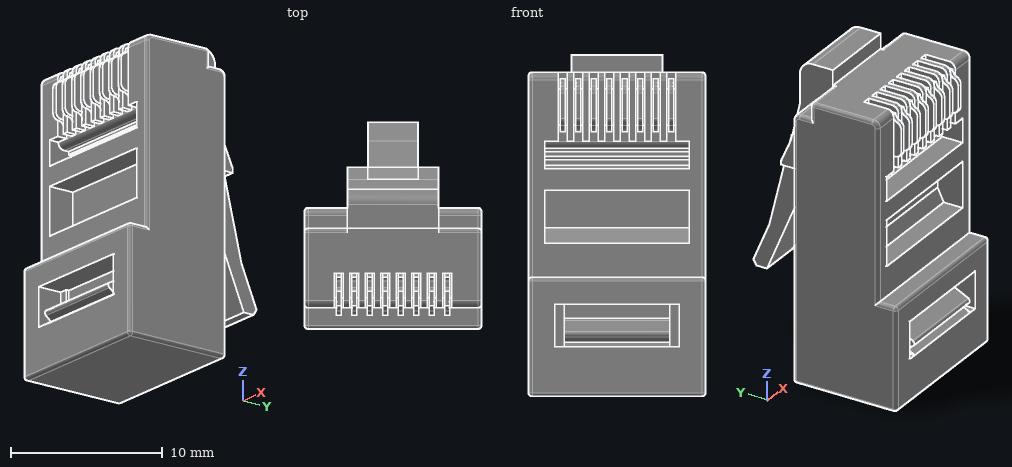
import cadquery as cq
import math


WIDTH = 11.68
BACK_Y = 7.99
NOSE_FRONT_Y = 1.4
BASE_TOP_Z = 7.85
NOSE_TOP_Z = 21.35
SHOULDER_Y = 6.64
SHOULDER_Z = 20.14
NOSE_RADIUS = 0.5
EDGE_RADIUS = 0.25

LATCH_TOP_Z = 22.5
LATCH_BACK_Y = 9.2
LATCH_WIDTH = 6.0
ARM_WIDTH = 3.3
LATCH_ROOT_Z = 18.88
LATCH_ROOT_Y = 8.28
LATCH_BEND_Z = 19.25
LATCH_TOP_RADIUS = 1.0
LATCH_EMBED_Y = 6.08
CATCH_START_Y = 9.88
CATCH_START_Z = 16.35
HEAD_END_Y = 10.66
HEAD_TAPER_Z = 14.58
HEAD_END_Z = 14.29
CATCH_Z = 15.9
ARM_BACK_BEND = (12.4, 8.7)
ARM_FRONT_BEND = (10.12, 11.25)
ARM_TIP_Y = 13.64
ARM_TIP_Z = 5.33
ARM_TIP_CORNER_Z = 5.74
ARM_TIP_FRONT_Y = 12.58
ARM_TIP_RADIUS = 0.25

CONTACT_COUNT = 8
CONTACT_ROW = 7.13
CONTACT_PITCH = CONTACT_ROW / (CONTACT_COUNT - 1)
CONTACT_THICKNESS = 0.34
CONTACT_FRONT_Y = 0.9
CONTACT_TOP_FRONT_Y = 1.53
CONTACT_BACK_Y = 3.7
CONTACT_TOP_Z = 20.92
CONTACT_BOTTOM_Z = 17.42
BULGE_TOP_RADIUS = 0.5
BULGE_BOTTOM_RADIUS = 0.45
CONTACT_NOTCH_FRONT_Y = 2.5
CONTACT_NOTCH_BACK_Y = 3.42
CONTACT_NOTCH_DEPTH = 0.5
CONTACT_NOTCH_RADIUS = 0.25
CONTACT_CHAMFER = CONTACT_BACK_Y - CONTACT_NOTCH_BACK_Y
SLOT_WIDTH = 0.58
SLOT_LEDGE_Y = 2.05
SLOT_UPPER_Z = 20.27
SLOT_LOWER_Z = 17.86
SLOT_BACK_Y = 2.12
SLOT_LIP_RADIUS = 0.47

WINDOW_WIDTH = 9.55
UPPER_WINDOW_TOP_Z = 16.8
UPPER_WINDOW_BOTTOM_Z = 14.98
UPPER_WINDOW_FLOOR_Y = 2.97
UPPER_WINDOW_RAMP = 0.22
UPPER_WINDOW_STEP_Z = 16.1
UPPER_WINDOW_STEP = 0.22
RIB_RADIUS = 0.11
RIB_Z = 15.7
LOWER_WINDOW_TOP_Z = 13.57
LOWER_WINDOW_BOTTOM_Z = 10.1
LOWER_WINDOW_FLOOR_Y = 2.85
LOWER_WINDOW_RAMP_TOP_Z = 11.1
LOWER_WINDOW_BACK_Y = 3.33

RELIEF_WIDTH = 8.2
RELIEF_TOP_Z = 6.08
RELIEF_BOTTOM_Z = 3.26
RELIEF_BACK_Y = 1.8
RELIEF_CENTRE_BACK_Y = 2.02
BAR_WIDTH = 6.95
BAR_TOP_Z = 5.15
BAR_BEVEL = 0.14
BAR_BEVEL_Y = 1.65
BAR_NOSE_Y = 0.05
BAR_NOSE_RADIUS = 0.22
BAR_NOSE_Z = 4.1
BAR_TILT = math.radians(24.5)
BAR_UNDERCUT = math.radians(45)
BAR_GROOVE_Y = 0.58
BAR_GROOVE_Z = 3.55


def side_sketch(y, z):
    """Start a profile in the YZ plane at (y, z)."""
    return cq.Workplane("YZ").moveTo(y, z)


def extrude_across(profile, width):
    """Extrude a closed YZ profile symmetrically about the plug's middle."""
    return profile.close().extrude(width / 2, both=True)


def block(width, y_range, z_range):
    """A box centred across the plug."""
    (y0, y1), (z0, z1) = y_range, z_range
    return extrude_across(side_sketch(y0, z0).lineTo(y1, z0).lineTo(y1, z1).lineTo(y0, z1), width)


def make_block():
    """Stepped housing block with all its outer edges rounded."""
    body = extrude_across(
        side_sketch(0, 0)
        .lineTo(BACK_Y, 0)
        .lineTo(BACK_Y, SHOULDER_Z - NOSE_RADIUS)
        .radiusArc((BACK_Y - NOSE_RADIUS, SHOULDER_Z), -NOSE_RADIUS)
        .lineTo(SHOULDER_Y, SHOULDER_Z)
        .lineTo(SHOULDER_Y, NOSE_TOP_Z)
        .lineTo(NOSE_FRONT_Y + NOSE_RADIUS, NOSE_TOP_Z)
        .radiusArc((NOSE_FRONT_Y, NOSE_TOP_Z - NOSE_RADIUS), -NOSE_RADIUS)
        .lineTo(NOSE_FRONT_Y, BASE_TOP_Z)
        .lineTo(0, BASE_TOP_Z),
        WIDTH,
    )
    side_edges = body.faces("<X or >X").edges()
    base_edges = body.edges("|X and (<Y or <Z)")
    shoulder_edge = body.faces(">Z").edges("|X and >Y")
    return side_edges.add(base_edges).add(shoulder_edge).fillet(EDGE_RADIUS)


def make_latch():
    """Spring latch: a wide head merged into the shoulder and a narrower arm below it."""
    lean = (ARM_FRONT_BEND[0] - LATCH_ROOT_Y) / (LATCH_ROOT_Z - ARM_FRONT_BEND[1])
    head_front_y = LATCH_ROOT_Y + lean * (LATCH_ROOT_Z - HEAD_END_Z)
    arm_front_y = LATCH_ROOT_Y + lean * (LATCH_ROOT_Z - CATCH_START_Z)

    head = extrude_across(
        side_sketch(LATCH_EMBED_Y, LATCH_ROOT_Z)
        .lineTo(LATCH_EMBED_Y, NOSE_TOP_Z)
        .lineTo(SHOULDER_Y, NOSE_TOP_Z)
        .lineTo(SHOULDER_Y, LATCH_TOP_Z)
        .lineTo(LATCH_BACK_Y - LATCH_TOP_RADIUS, LATCH_TOP_Z)
        .radiusArc((LATCH_BACK_Y, LATCH_TOP_Z - LATCH_TOP_RADIUS), LATCH_TOP_RADIUS)
        .lineTo(LATCH_BACK_Y, LATCH_BEND_Z)
        .lineTo(CATCH_START_Y, CATCH_START_Z)
        .lineTo(HEAD_END_Y, HEAD_TAPER_Z)
        .lineTo(HEAD_END_Y, HEAD_END_Z)
        .lineTo(head_front_y, HEAD_END_Z)
        .lineTo(LATCH_ROOT_Y, LATCH_ROOT_Z),
        LATCH_WIDTH,
    )
    root_point = cq.NearestToPointSelector((0, LATCH_ROOT_Y, LATCH_ROOT_Z))
    head = head.edges("|X").edges(root_point).fillet(EDGE_RADIUS)

    arm = extrude_across(
        side_sketch(arm_front_y, CATCH_START_Z)
        .lineTo(CATCH_START_Y, CATCH_START_Z)
        .lineTo(HEAD_END_Y, CATCH_Z)
        .lineTo(*ARM_BACK_BEND)
        .lineTo(ARM_TIP_Y, ARM_TIP_CORNER_Z)
        .lineTo(ARM_TIP_Y - ARM_TIP_RADIUS, ARM_TIP_Z)
        .lineTo(ARM_TIP_FRONT_Y, ARM_TIP_Z)
        .lineTo(*ARM_FRONT_BEND),
        ARM_WIDTH,
    )
    return head.union(arm)


def upper_window():
    """Pocket below the contacts: rounded lip inside its roof, stepped back wall and a small rib."""
    inner_roof_z = UPPER_WINDOW_TOP_Z - SLOT_LIP_RADIUS
    wall_y = UPPER_WINDOW_FLOOR_Y + UPPER_WINDOW_RAMP
    return extrude_across(
        side_sketch(NOSE_FRONT_Y, UPPER_WINDOW_BOTTOM_Z)
        .lineTo(UPPER_WINDOW_FLOOR_Y, UPPER_WINDOW_BOTTOM_Z)
        .lineTo(wall_y, UPPER_WINDOW_BOTTOM_Z + UPPER_WINDOW_RAMP)
        .lineTo(wall_y, RIB_Z - RIB_RADIUS)
        .threePointArc((wall_y - RIB_RADIUS, RIB_Z), (wall_y, RIB_Z + RIB_RADIUS))
        .lineTo(wall_y, UPPER_WINDOW_STEP_Z)
        .lineTo(wall_y - UPPER_WINDOW_STEP, UPPER_WINDOW_STEP_Z)
        .lineTo(wall_y - UPPER_WINDOW_STEP, inner_roof_z)
        .lineTo(SLOT_BACK_Y + SLOT_LIP_RADIUS, inner_roof_z)
        .radiusArc((SLOT_BACK_Y, UPPER_WINDOW_TOP_Z), SLOT_LIP_RADIUS)
        .lineTo(NOSE_FRONT_Y, UPPER_WINDOW_TOP_Z),
        WINDOW_WIDTH,
    )


def lower_window():
    """Deep pocket in the nose front with a ramp at the back of its floor."""
    return extrude_across(
        side_sketch(NOSE_FRONT_Y, LOWER_WINDOW_BOTTOM_Z)
        .lineTo(LOWER_WINDOW_FLOOR_Y, LOWER_WINDOW_BOTTOM_Z)
        .lineTo(LOWER_WINDOW_BACK_Y, LOWER_WINDOW_RAMP_TOP_Z)
        .lineTo(LOWER_WINDOW_BACK_Y, LOWER_WINDOW_TOP_Z)
        .lineTo(NOSE_FRONT_Y, LOWER_WINDOW_TOP_Z),
        WINDOW_WIDTH,
    )


def relief_pocket():
    """Opening in the base front, deeper along its middle than beside the bar."""
    height = (RELIEF_BOTTOM_Z, RELIEF_TOP_Z)
    opening = block(RELIEF_WIDTH, (0, RELIEF_BACK_Y), height)
    return opening.union(block(BAR_WIDTH, (0, RELIEF_CENTRE_BACK_Y), height))


def relief_bar():
    """Wedge-shaped strain relief bar with a rounded nose, standing on a sloping floor."""

    def nose_point(angle):
        y = BAR_NOSE_Y + BAR_NOSE_RADIUS * (1 - math.cos(angle))
        z = BAR_NOSE_Z + BAR_NOSE_RADIUS * math.sin(angle)
        return (y, z)

    nose_top = nose_point(math.pi / 2 - BAR_TILT)
    nose_bottom = nose_point(-BAR_UNDERCUT)
    return extrude_across(
        side_sketch(0, RELIEF_BOTTOM_Z)
        .lineTo(BAR_GROOVE_Y, BAR_GROOVE_Z)
        .lineTo(*nose_bottom)
        .threePointArc(nose_point(0), nose_top)
        .lineTo(BAR_BEVEL_Y, BAR_TOP_Z - BAR_BEVEL)
        .lineTo(RELIEF_BACK_Y, BAR_TOP_Z)
        .lineTo(RELIEF_CENTRE_BACK_Y, BAR_TOP_Z)
        .lineTo(RELIEF_CENTRE_BACK_Y, RELIEF_BOTTOM_Z),
        BAR_WIDTH,
    )


def contact_slot():
    """Stepped slot for one contact plus the narrow slit that holds the blade."""
    upper = block(SLOT_WIDTH, (0, CONTACT_BACK_Y), (SLOT_UPPER_Z, NOSE_TOP_Z))
    middle = block(SLOT_WIDTH, (0, SLOT_LEDGE_Y), (SLOT_LOWER_Z, SLOT_UPPER_Z))
    lower = block(SLOT_WIDTH, (0, SLOT_BACK_Y), (UPPER_WINDOW_TOP_Z, SLOT_LOWER_Z))
    slit = block(CONTACT_THICKNESS, (SLOT_LEDGE_Y, CONTACT_BACK_Y), (CONTACT_BOTTOM_Z, SLOT_UPPER_Z))
    return upper.union(middle).union(lower).union(slit)


def make_contact():
    """Contact blade with a rounded front bulge and a notch in its top edge."""
    half_step = (CONTACT_TOP_FRONT_Y - CONTACT_FRONT_Y) / 2
    half_drop = BULGE_TOP_RADIUS * math.sin(math.acos(1 - half_step / BULGE_TOP_RADIUS))
    middle_y = CONTACT_FRONT_Y + half_step
    profile = (
        side_sketch(CONTACT_BACK_Y, CONTACT_BOTTOM_Z)
        .lineTo(CONTACT_FRONT_Y + 2 * BULGE_BOTTOM_RADIUS, CONTACT_BOTTOM_Z)
        .radiusArc(
            (CONTACT_FRONT_Y + BULGE_BOTTOM_RADIUS, CONTACT_BOTTOM_Z + BULGE_BOTTOM_RADIUS),
            -BULGE_BOTTOM_RADIUS,
        )
        .radiusArc((CONTACT_FRONT_Y, CONTACT_BOTTOM_Z + 2 * BULGE_BOTTOM_RADIUS), BULGE_BOTTOM_RADIUS)
        .lineTo(CONTACT_FRONT_Y, CONTACT_TOP_Z - 2 * half_drop)
        .radiusArc((middle_y, CONTACT_TOP_Z - half_drop), BULGE_TOP_RADIUS)
        .radiusArc((CONTACT_TOP_FRONT_Y, CONTACT_TOP_Z), -BULGE_TOP_RADIUS)
        .lineTo(CONTACT_NOTCH_BACK_Y, CONTACT_TOP_Z)
        .lineTo(CONTACT_BACK_Y, CONTACT_TOP_Z - CONTACT_CHAMFER)
    )
    blade = extrude_across(profile, CONTACT_THICKNESS)
    notch = block(
        CONTACT_THICKNESS,
        (CONTACT_NOTCH_FRONT_Y, CONTACT_NOTCH_BACK_Y),
        (CONTACT_TOP_Z - CONTACT_NOTCH_DEPTH, CONTACT_TOP_Z),
    )
    return blade.cut(notch.edges("|X and <Z").fillet(CONTACT_NOTCH_RADIUS))


def make_housing(contact_places):
    """Housing block with its latch, windows, strain relief and contact slots."""
    housing = make_block().union(make_latch())
    housing = housing.cut(upper_window()).cut(lower_window())
    housing = housing.cut(relief_pocket().cut(relief_bar()))
    for x in contact_places:
        housing = housing.cut(contact_slot().translate((x, 0, 0)))
    return housing


contact_places = [i * CONTACT_PITCH - CONTACT_ROW / 2 for i in range(CONTACT_COUNT)]
housing = make_housing(contact_places)
contacts = [make_contact().translate((x, 0, 0)) for x in contact_places]

result = cq.Compound.makeCompound([housing.val(), *[contact.val() for contact in contacts]])